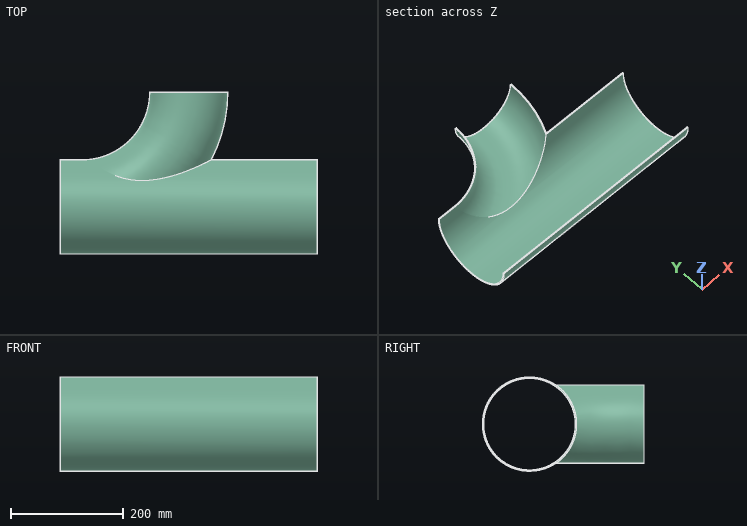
import cadquery as cq

pipe_length = 458.0
pipe_diameter = 168.3
wall = 2.6

branch_diameter = 139.7
bend_radius = 190.0
bend_angle = 90.0

pipe_radius = pipe_diameter / 2
pipe_bore_radius = pipe_radius - wall
branch_radius = branch_diameter / 2
branch_bore_radius = branch_radius - wall

branch_height = pipe_radius + bend_radius - branch_radius


def pipe_cylinder(radius):
    """Solid cylinder over the full pipe length, centred on the origin."""
    return cq.Workplane("YZ", origin=(-pipe_length / 2, 0, 0)).circle(radius).extrude(pipe_length)


def elbow(radius):
    """Solid bend from the open branch end at X = 0, curving toward -X into the pipe."""
    return (
        cq.Workplane("XZ", origin=(0, branch_height, 0))
        .circle(radius)
        .revolve(bend_angle, (-bend_radius, 1, 0), (-bend_radius, -1, 0))
    )


pipe_bore = pipe_cylinder(pipe_bore_radius)
pipe = pipe_cylinder(pipe_radius).cut(pipe_bore)
branch = elbow(branch_radius).cut(pipe_bore)

result = pipe.union(branch).cut(elbow(branch_bore_radius)).solids()